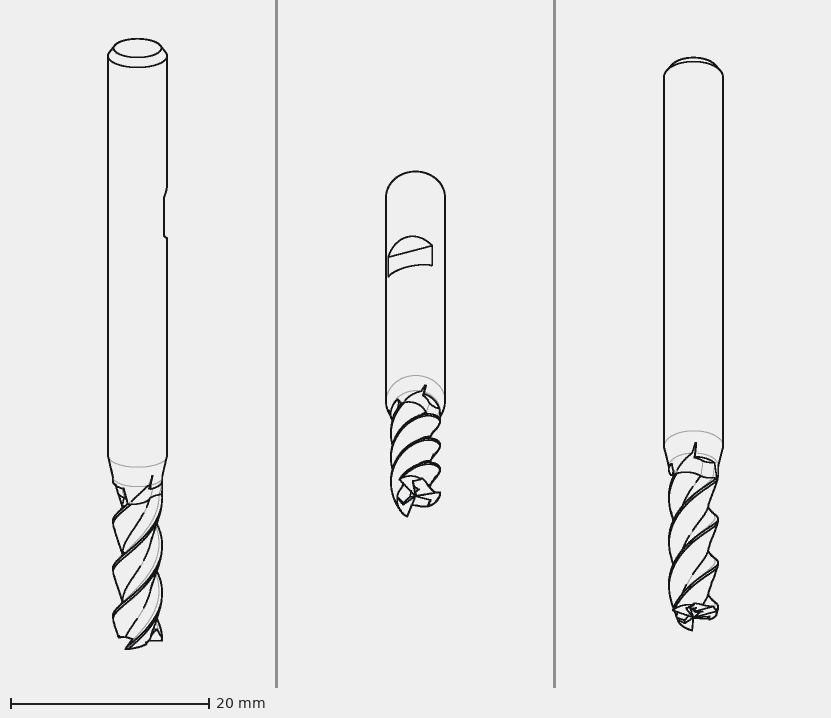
import cadquery as cq
import math

total_length = 65.0
shank_diameter = 6.0
cutter_diameter = 5.0
shank_radius = shank_diameter / 2
cutter_radius = cutter_diameter / 2
flute_length = 16.0
neck_end = 18.0
cone_end = 20.35

end_chamfer_width = 0.6
end_chamfer_height = 0.85

flat_depth = 1.1
flat_length = 4.2
flat_center = 47.05

tooth_count = 3
tooth_pitch = 360 / tooth_count
helix_lead = 15.6
twist_per_unit = 360 / helix_lead
first_edge_angle = 63.0
land_radius = 2.5
land_angle = 8.0
back_radius = 2.0
back_angle = 42.0
root_radius = 1.5
root_angle = 80.0
rake_radius = 1.6
rake_angle = 102.0
lip_radius = 2.15
lip_angle = 115.0

runout_height = 3.05
runout_slope = 0.28
ledge_height = 1.55
ledge_offset = 1.05

gash_shift = 3.0
gash_height = 1.05
gash_lean = 0.5
gash_width = 1.6
gash_fall = 0.5
relief_slope = 0.2


def polar(radius, angle):
    """Point in the XY plane at an angle in degrees."""
    return (radius * math.cos(math.radians(angle)), radius * math.sin(math.radians(angle)))


def tooth_outline(sketch, edge_angle):
    """Continue an outline from one cutting edge, over the tooth back, to the next cutting edge."""
    return (
        sketch.lineTo(*polar(land_radius, edge_angle + land_angle))
        .threePointArc(
            polar(back_radius, edge_angle + back_angle),
            polar(root_radius, edge_angle + root_angle),
        )
        .threePointArc(
            polar(rake_radius, edge_angle + rake_angle),
            polar(lip_radius, edge_angle + lip_angle),
        )
        .lineTo(*polar(cutter_radius, edge_angle + tooth_pitch))
    )


def make_end_cut(edge_angle):
    """Gash in front of one end tooth, together with the relief behind its edge."""
    return (
        cq.Workplane("YZ")
        .moveTo(0, 0)
        .lineTo(cutter_radius, relief_slope * cutter_radius)
        .lineTo(cutter_radius, -gash_height)
        .lineTo(-gash_width, -gash_height)
        .lineTo(-gash_width, gash_height - gash_fall)
        .lineTo(gash_lean, gash_height)
        .close()
        .extrude(shank_radius)
        .rotate((0, 0, 0), (0, 0, 1), edge_angle + gash_shift)
    )


def make_cutter():
    outline = cq.Workplane("XY").moveTo(*polar(cutter_radius, first_edge_angle))
    for tooth in range(tooth_count):
        outline = tooth_outline(outline, first_edge_angle + tooth * tooth_pitch)
    cutter = outline.close().twistExtrude(flute_length, flute_length * twist_per_unit)
    for tooth in range(tooth_count):
        cutter = cutter.cut(make_end_cut(first_edge_angle + tooth * tooth_pitch))
    return cutter


def make_runout(edge_angle):
    """Flute space behind one tooth, leading upwards and outwards through the neck."""
    outer_radius = 2 * shank_radius
    section = cq.Workplane("XY").workplane(offset=flute_length).moveTo(*polar(cutter_radius, edge_angle))
    section = (
        tooth_outline(section, edge_angle)
        .lineTo(*polar(outer_radius, edge_angle + tooth_pitch))
        .lineTo(*polar(outer_radius, edge_angle + tooth_pitch / 2))
        .lineTo(*polar(outer_radius, edge_angle))
        .close()
    )
    face = cq.Face.makeFromWires(section.val())
    drift_angle = edge_angle + root_angle
    drift_x, drift_y = polar(runout_slope * runout_height, drift_angle)
    channel = cq.Workplane(cq.Solid.extrudeLinear(face, cq.Vector(drift_x, drift_y, runout_height)))
    ledge = (
        cq.Workplane("XY")
        .box(2 * outer_radius, 2 * outer_radius, runout_height, centered=(True, False, False))
        .translate((0, -ledge_offset, flute_length + ledge_height))
        .rotate((0, 0, 0), (0, 0, 1), drift_angle)
    )
    return channel.cut(ledge)


def make_shank():
    shank = (
        cq.Workplane("XZ")
        .moveTo(0, flute_length)
        .lineTo(cutter_radius, flute_length)
        .lineTo(cutter_radius, neck_end)
        .lineTo(shank_radius, cone_end)
        .lineTo(shank_radius, total_length - end_chamfer_height)
        .lineTo(shank_radius - end_chamfer_width, total_length)
        .lineTo(0, total_length)
        .close()
        .revolve(360, (0, 0, 0), (0, 1, 0))
    )
    flat_y = shank_radius - flat_depth
    clamping_notch = (
        cq.Workplane("YZ")
        .moveTo(flat_y, flat_center - flat_length / 2)
        .lineTo(flat_y, flat_center + flat_length / 2)
        .lineTo(shank_radius, flat_center + flat_length / 2 + flat_depth)
        .lineTo(shank_radius, flat_center - flat_length / 2 - flat_depth)
        .close()
        .extrude(shank_radius, both=True)
    )
    shank = shank.cut(clamping_notch)
    top_edge_angle = first_edge_angle + flute_length * twist_per_unit
    for tooth in range(tooth_count):
        shank = shank.cut(make_runout(top_edge_angle + tooth * tooth_pitch))
    return shank


cutter = make_cutter()
shank = make_shank()
result = cq.Compound.makeCompound([cutter.val(), shank.val()])